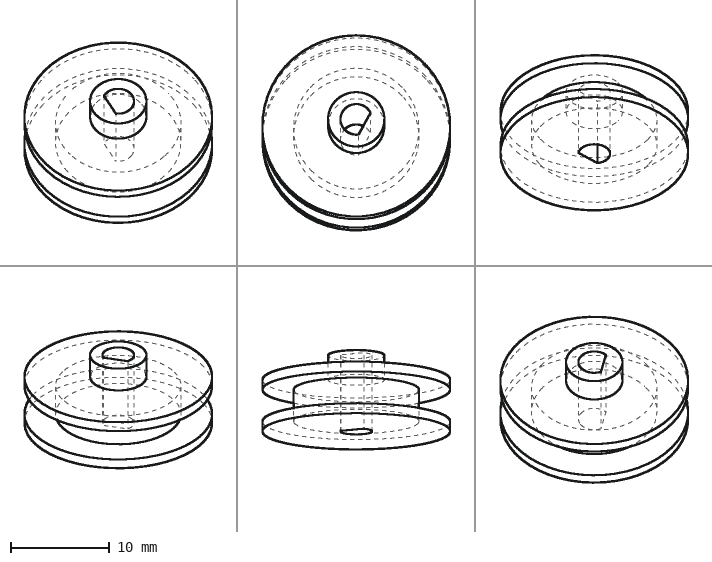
import cadquery as cq

flange_diameter = 19.05
flange_thickness = 1.03
drum_diameter = 12.7
drum_width = 3.28
hub_diameter = 5.72
hub_height = 2.51
bore_diameter = 3.2
bore_flat_offset = 0.95

spool_height = 2 * flange_thickness + drum_width
total_height = spool_height + hub_height


def disc(diameter, bottom, height):
    """Solid cylinder on the Z axis, starting at the given height."""
    return cq.Workplane("XY").workplane(offset=bottom).circle(diameter / 2).extrude(height)


def d_bore():
    """Round bore cutter with its -Y side cut away to leave a flat."""
    flat_side = (
        cq.Workplane("XY")
        .rect(bore_diameter, bore_diameter)
        .extrude(total_height)
        .translate((0, -bore_flat_offset - bore_diameter / 2, 0))
    )
    return disc(bore_diameter, 0, total_height).cut(flat_side)


spool = disc(drum_diameter, 0, spool_height)
for flange_bottom in (0, flange_thickness + drum_width):
    spool = spool.union(disc(flange_diameter, flange_bottom, flange_thickness))

hub = disc(hub_diameter, spool_height, hub_height)
result = spool.union(hub).cut(d_bore())